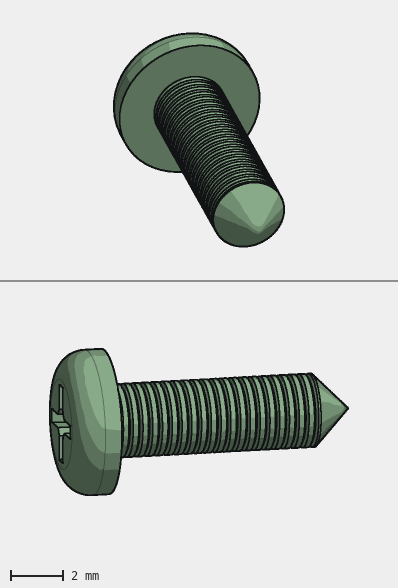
import cadquery as cq
import math

total_length = 11.25
head_height = 1.71
head_radius = 2.78
head_rounding = 1.06
shank_radius = 1.41
point_length = shank_radius

groove_pitch = 0.38
groove_width = 0.17
groove_flank_angle = 60.0
groove_depth = groove_width / 2 * math.tan(math.radians(groove_flank_angle))
first_groove_offset = 0.22
groove_count = 21

recess_depth = head_height
recess_arm_width = 0.52
recess_mouth_reach = 1.47
recess_floor_reach = 0.85
recess_corner_cut = recess_arm_width / 2

point_start = total_length - point_length


def make_body():
    """Revolve the half profile of the head, grooved shank and point about X."""
    arc_offset = head_rounding * math.sin(math.radians(45))
    arc_middle = (
        head_rounding - arc_offset,
        head_radius - head_rounding + arc_offset,
    )
    profile = (
        cq.Workplane("XZ")
        .lineTo(0, head_radius - head_rounding)
        .threePointArc(arc_middle, (head_rounding, head_radius))
        .lineTo(head_height, head_radius)
        .lineTo(head_height, shank_radius)
    )
    for index in range(groove_count):
        groove_start = head_height + first_groove_offset + index * groove_pitch
        profile = (
            profile.lineTo(groove_start, shank_radius)
            .lineTo(groove_start + groove_width / 2, shank_radius - groove_depth)
            .lineTo(groove_start + groove_width, shank_radius)
        )
    profile = profile.lineTo(point_start, shank_radius).lineTo(total_length, 0).close()
    return profile.revolve(360, (0, 0, 0), (1, 0, 0))


def make_recess_bar():
    """Bar across the axis along Y whose two ends slope inwards with depth."""
    return (
        cq.Workplane("XY")
        .workplane(offset=-recess_arm_width / 2)
        .polyline([
            (0, -recess_mouth_reach),
            (recess_depth, -recess_floor_reach),
            (recess_depth, recess_floor_reach),
            (0, recess_mouth_reach),
        ])
        .close()
        .extrude(recess_arm_width)
    )


def make_recess():
    """Two crossed bars joined by an octagonal core that cuts the inner corners."""
    core_width = recess_arm_width + 2 * recess_corner_cut
    core = (
        cq.Workplane("YZ")
        .rect(core_width, core_width)
        .extrude(recess_depth)
        .edges("|X")
        .chamfer(recess_corner_cut)
    )
    bar = make_recess_bar()
    crossing_bar = bar.rotate((0, 0, 0), (1, 0, 0), 90)
    return core.union(bar).union(crossing_bar)


result = make_body().cut(make_recess())